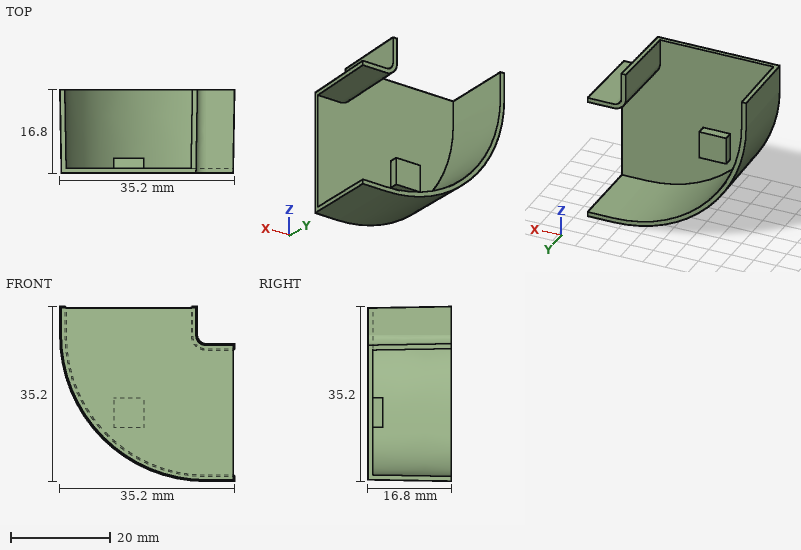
import cadquery as cq
import math

overall_size = 35.19
depth = 16.8
outer_radius = 29.4
inner_radius = 1.71
wall = 1.0
draft_angle = 1.0
end_length = overall_size - outer_radius

pad_size = 6.0
pad_height = 1.95

cut_clearance = 2.0


def bend_profile(r_inner, r_outer, end):
    """Quarter bend about the Y axis with straight ends towards +Z and +X, in the plane Y = 0."""
    diagonal = math.sqrt(0.5)
    return (
        cq.Workplane("XZ")
        .moveTo(-r_outer, end)
        .lineTo(-r_outer, 0)
        .threePointArc((-r_outer * diagonal, -r_outer * diagonal), (0, -r_outer))
        .lineTo(end, -r_outer)
        .lineTo(end, -r_inner)
        .lineTo(0, -r_inner)
        .threePointArc((-r_inner * diagonal, -r_inner * diagonal), (-r_inner, 0))
        .lineTo(-r_inner, end)
        .close()
    )


def make_body():
    profile = bend_profile(inner_radius, outer_radius, end_length)
    return profile.extrude(depth, taper=draft_angle)


def make_cavity():
    profile = bend_profile(inner_radius + wall, outer_radius - wall, end_length + cut_clearance)
    return profile.extrude(depth - wall, taper=draft_angle)


def make_pad():
    """Pad where the centre lines of the two straight ends cross, sunk into the front plate to join it."""
    centre_line = -(inner_radius + outer_radius) / 2
    sunk_depth = wall / 2
    return (
        cq.Workplane("XZ", origin=(0, -(depth - wall - pad_height), 0))
        .center(centre_line, centre_line)
        .rect(pad_size, pad_size)
        .extrude(pad_height + sunk_depth)
    )


result = make_body().cut(make_cavity()).union(make_pad())